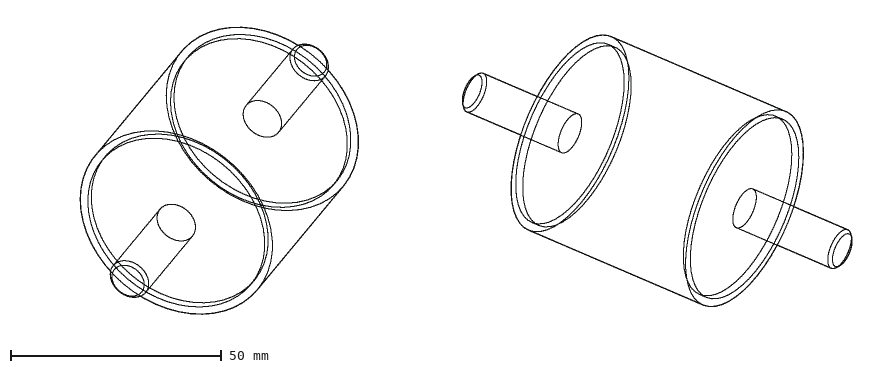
import cadquery as cq

buffer_diameter = 50.0
buffer_length = 50.0
plate_diameter = 46.0
plate_thickness = 2.0
stud_diameter = 10.0
stud_length = 28.0
stud_chamfer = 0.8

buffer_radius = buffer_diameter / 2
plate_radius = plate_diameter / 2
stud_radius = stud_diameter / 2
end_face = buffer_length / 2
recess_floor = end_face - plate_thickness
stud_tip = end_face + stud_length


def revolve_about_y(profile):
    """Turn a half profile, drawn on the -X side of the XY plane, about the Y axis."""
    return cq.Workplane("XY").polyline(profile).close().revolve(360, (0, 0), (0, 1))


def make_rubber_buffer():
    """Rubber cylinder with a shallow plate recess in both ends."""
    return revolve_about_y([
        (0, -recess_floor),
        (-plate_radius, -recess_floor),
        (-plate_radius, -end_face),
        (-buffer_radius, -end_face),
        (-buffer_radius, end_face),
        (-plate_radius, end_face),
        (-plate_radius, recess_floor),
        (0, recess_floor),
    ])


def make_stud_plate(side):
    """Flush round plate with a chamfered stud; side is -1 or +1 along Y."""
    return revolve_about_y([
        (0, side * recess_floor),
        (-plate_radius, side * recess_floor),
        (-plate_radius, side * end_face),
        (-stud_radius, side * end_face),
        (-stud_radius, side * (stud_tip - stud_chamfer)),
        (-stud_radius + stud_chamfer, side * stud_tip),
        (0, side * stud_tip),
    ])


rubber_buffer = make_rubber_buffer()
stud_plates = [make_stud_plate(side) for side in (-1, 1)]

result = cq.Compound.makeCompound(
    [rubber_buffer.val()] + [stud_plate.val() for stud_plate in stud_plates]
)